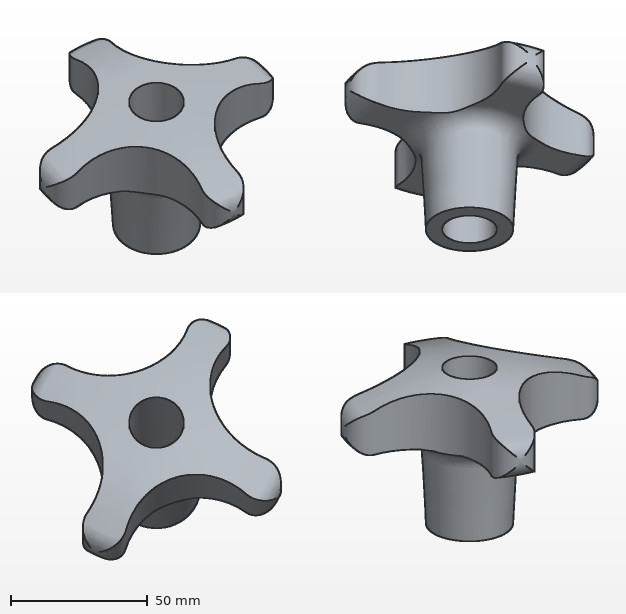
import cadquery as cq
import math

height = 62.6
reach = 50.0
bore_radius = 10.0

stem_foot_radius = 16.0
stem_taper = math.radians(3)
flare_radius = 8.0

head_base = 38.0
dome_radius = 120.0
tip_radius = 8.0
waist_half_width = 7.4

tip_center = reach - tip_radius
diagonal = math.sqrt(0.5)


def make_head_blank():
    """Domed disc with a rounded rim, turned about Z."""
    dome_center_z = height - math.sqrt(dome_radius**2 - bore_radius**2)
    dome_top = dome_center_z + dome_radius
    rim_z = dome_center_z + math.sqrt((dome_radius - tip_radius) ** 2 - tip_center**2)
    slope = math.asin(tip_center / (dome_radius - tip_radius))
    dome_end = (dome_radius * math.sin(slope), dome_center_z + dome_radius * math.cos(slope))
    dome_middle = (
        dome_radius * math.sin(slope / 2),
        dome_center_z + dome_radius * math.cos(slope / 2),
    )
    rim_angle = (math.pi / 2 + slope) / 2
    rim_middle = (
        tip_center + tip_radius * math.sin(rim_angle),
        rim_z + tip_radius * math.cos(rim_angle),
    )
    lower_middle = (
        tip_center + tip_radius * diagonal,
        head_base + tip_radius - tip_radius * diagonal,
    )
    return (
        cq.Workplane("XZ")
        .moveTo(0, head_base)
        .lineTo(tip_center, head_base)
        .threePointArc(lower_middle, (reach, head_base + tip_radius))
        .lineTo(reach, rim_z)
        .threePointArc(rim_middle, dome_end)
        .threePointArc(dome_middle, (0, dome_top))
        .close()
        .revolve(360, (0, 0), (0, 1))
    )


def make_star():
    """Four-armed prism: round arm tips joined by tangent concave arcs."""
    gap = tip_radius - waist_half_width
    half_sum = tip_center + gap
    hollow_center = half_sum - math.sqrt(half_sum**2 - tip_center**2 + gap**2)
    hollow_radius = hollow_center - waist_half_width
    hollow_middle = hollow_center - hollow_radius * diagonal
    share = tip_radius / (tip_radius + hollow_radius)
    join_side = share * hollow_center
    join_along = tip_center + share * (hollow_center - tip_center)

    def turned(x, y, quarter):
        for _ in range(quarter):
            x, y = -y, x
        return (x, y)

    outline = cq.Workplane("XY").moveTo(join_along, -join_side)
    for quarter in range(4):
        outline = outline.threePointArc(
            turned(reach, 0, quarter), turned(join_along, join_side, quarter)
        ).threePointArc(
            turned(hollow_middle, hollow_middle, quarter),
            turned(join_side, join_along, quarter),
        )
    return outline.close().extrude(height)


def make_stem():
    """Tapered stem flaring into the underside of the head."""
    flare_center_z = head_base - flare_radius
    neck_z = flare_center_z + flare_radius * math.sin(stem_taper)
    neck_radius = stem_foot_radius + neck_z * math.tan(stem_taper)
    flare_center_x = neck_radius + flare_radius * math.cos(stem_taper)
    flare_middle = (
        flare_center_x - flare_radius * diagonal,
        flare_center_z + flare_radius * diagonal,
    )
    return (
        cq.Workplane("XZ")
        .lineTo(stem_foot_radius, 0)
        .lineTo(neck_radius, neck_z)
        .threePointArc(flare_middle, (flare_center_x, head_base))
        .lineTo(0, head_base)
        .close()
        .revolve(360, (0, 0), (0, 1))
    )


bore = cq.Workplane("XY").circle(bore_radius).extrude(height)
result = make_head_blank().union(make_stem()).intersect(make_star()).cut(bore)